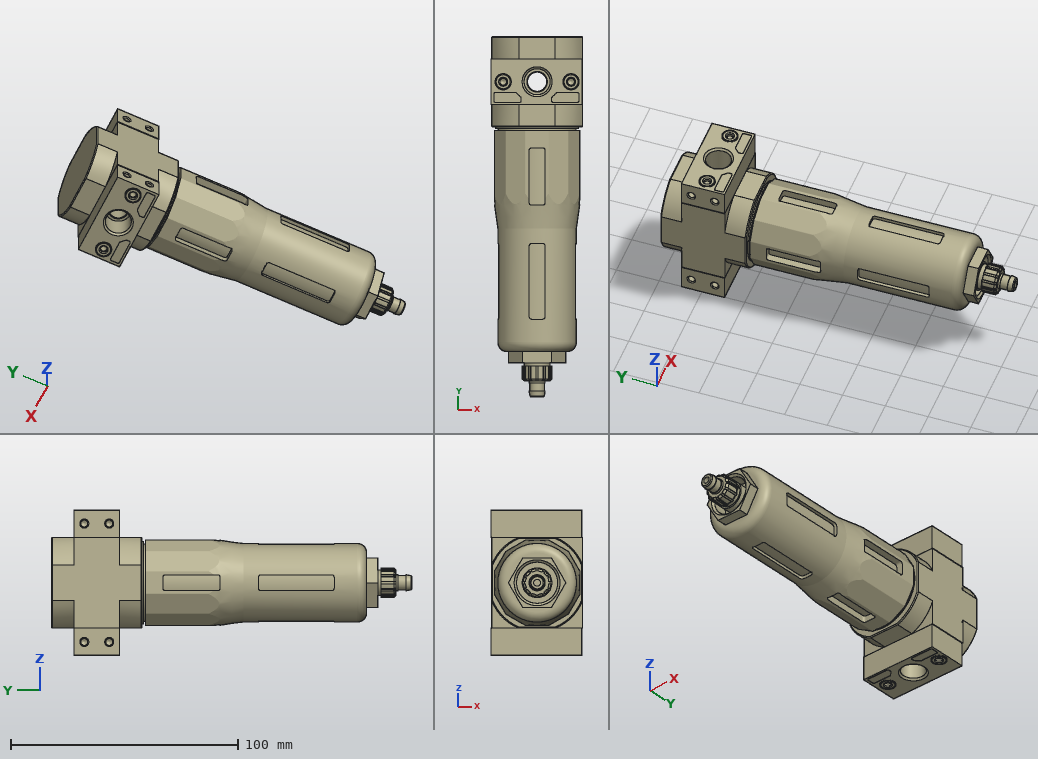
import cadquery as cq
import math


housing_side = 40.0
housing_length = 40.0
housing_round_radius = 21.55
housing_end_chamfer = 0.5
block_length = 20.2
flow_hole_diameter = 8.5
flow_hole_mouth_diameter = 9.0
overall_height = 64.0

plate_offset = -0.3
plate_thickness = (overall_height - housing_side) / 2
port_diameter = 11.5
port_mouth_diameter = 13.2
side_hole_diameter = 3.0
side_hole_mouth_diameter = 4.0
side_hole_depth = 4.8
side_hole_spacing = 11.0
side_hole_height = 26.0
drill_point_angle = 118

label_outer_x = 18.8
label_inner_x = 6.7
label_top_y = -4.8
label_bottom_y = -9.0
label_bevel = 2.2
label_corner_radius = 0.6
label_depth = 0.2

screw_diameter = 7.2
screw_chamfer = 0.5
screw_offset = 15.0
socket_diameter = 3.0
socket_mouth_diameter = 4.0
socket_depth = 1.6

housing_front = -housing_length / 2
collar_radius = 18.3
collar_end = -20.7
neck_radius = 17.2
neck_end = -21.5
grip_diameter = 39.0
cone_start = -49.5
cone_end = -64.7
guard_radius = 17.3
guard_end = -119.0
guard_end_fillet = 4.1
grip_sides = 12
grip_across_flats = 37.7
hex_across_flats = 22.0
hex_end = -123.9
hex_recess_diameter = 18.1
hex_recess_depth = 8.0
hex_recess_chamfer = 1.03
hex_recess_floor = hex_end + hex_recess_depth

window_width = 7.0
window_corner_radius = 1.1
window_count = 4
grip_window = (-54.4, -29.1)
bowl_window = (-104.6, -71.2)

bowl_radius = 15.7
bowl_end = guard_end + guard_end_fillet

drain_boss_radius = 6.5
drain_boss_end = -123.0
drain_neck_radius = 5.7
knob_start = -125.1
knob_end = -131.8
knob_core_radius = 6.12
knob_chamfer = 1.0
rib_count = 12
rib_radius = 6.6
rib_width = 1.0
stem_collar_radius = 3.58
stem_collar_end = -132.8
stem_radius = 3.26
barb_start = -136.3
barb_radius = 3.58
tip_radius = 3.2
tip_chamfer = 0.5
tip_end = -139.0
tip_hole_diameter = 3.0
tip_hole_depth = 3.2


def turned(points):
    """Solid of revolution about Y from (radius, y) points."""
    return cq.Workplane("XY").polyline(points).close().revolve(360, (0, 0, 0), (0, 1, 0))


def regular_prism(sides, across_flats, start, end):
    """Regular prism along Y with a corner towards +X."""
    across_corners = across_flats / math.cos(math.pi / sides)
    return cq.Workplane("XZ", origin=(0, start, 0)).polygon(sides, across_corners).extrude(start - end)


def drilled_hole(diameter, mouth_diameter, depth):
    """Cutter for a hole down -Z from the origin, with a 45 degree mouth and a drill point."""
    radius = diameter / 2
    mouth_radius = mouth_diameter / 2
    point_depth = radius / math.tan(math.radians(drill_point_angle / 2))
    profile = [
        (0, 0),
        (mouth_radius, 0),
        (radius, radius - mouth_radius),
        (radius, -depth),
        (0, -depth - point_depth),
    ]
    return cq.Workplane("XZ").polyline(profile).close().revolve(360, (0, 0, 0), (0, 1, 0))


def make_housing():
    square = cq.Workplane("XZ").rect(housing_side, housing_side).extrude(housing_length / 2, both=True)
    barrel = cq.Workplane("XZ").circle(housing_round_radius).extrude(housing_length / 2, both=True)
    barrel = barrel.intersect(square).faces("<Y or >Y").chamfer(housing_end_chamfer)
    block = cq.Workplane("XY").box(housing_side, block_length, housing_side)
    flow_hole = cq.Workplane("XY").circle(flow_hole_diameter / 2).extrude(housing_side / 2, both=True)
    body = barrel.union(block).cut(flow_hole)
    return body.edges("%CIRCLE and (<Z or >Z)").chamfer((flow_hole_mouth_diameter - flow_hole_diameter) / 2)


def label_recess(side):
    """Cutter for one label, on the -X (side = -1) or +X (side = 1) half of a plate face at z = 0."""
    outline = [
        (side * label_outer_x, label_top_y),
        (side * (label_inner_x + label_bevel), label_top_y),
        (side * label_inner_x, label_top_y - label_bevel),
        (side * label_inner_x, label_bottom_y),
        (side * label_outer_x, label_bottom_y),
    ]
    label = cq.Workplane("XY").polyline(outline).close().extrude(-label_depth)
    return label.edges("|Z").fillet(label_corner_radius).translate((plate_offset, 0, 0))


def make_plate():
    """Upper plate."""
    plate = (
        cq.Workplane("XY", origin=(plate_offset, 0, housing_side / 2))
        .rect(housing_side, block_length)
        .extrude(plate_thickness)
    )
    plate = plate.cut(
        cq.Workplane("XY", origin=(0, 0, housing_side / 2)).circle(port_diameter / 2).extrude(plate_thickness)
    )
    plate = plate.edges("%CIRCLE and >Z").chamfer((port_mouth_diameter - port_diameter) / 2)
    screw_holes = (
        cq.Workplane("XY", origin=(0, 0, housing_side / 2))
        .pushPoints([(-screw_offset, 0), (screw_offset, 0)])
        .circle(screw_diameter / 2)
        .extrude(plate_thickness)
    )
    plate = plate.cut(screw_holes)
    side_hole = drilled_hole(side_hole_diameter, side_hole_mouth_diameter, side_hole_depth)
    side_hole = side_hole.rotate((0, 0, 0), (0, 1, 0), -90)
    plate_side = plate_offset - housing_side / 2
    for direction in (-1, 1):
        place = (plate_side, direction * side_hole_spacing / 2, side_hole_height)
        plate = plate.cut(side_hole.translate(place))
        plate = plate.cut(label_recess(direction).translate((0, 0, overall_height / 2)))
    return plate


def make_screw():
    """Upper screw, standing on the housing with its socket flush with the plate face."""
    screw = cq.Workplane("XY").circle(screw_diameter / 2).extrude(-plate_thickness)
    screw = screw.faces(">Z").chamfer(screw_chamfer)
    screw = screw.cut(drilled_hole(socket_diameter, socket_mouth_diameter, socket_depth))
    return screw.translate((0, 0, overall_height / 2))


def window(span):
    """Cutter for one rounded window over the +Z side of the guard, reaching in to its axis."""
    start, end = span
    return (
        cq.Workplane("XY", origin=(0, (start + end) / 2, 0))
        .rect(window_width, end - start)
        .extrude(housing_side / 2)
        .edges("|Z")
        .fillet(window_corner_radius)
    )


def make_guard():
    guard = turned([
        (0, neck_end),
        (grip_diameter / 2, neck_end),
        (grip_diameter / 2, cone_start),
        (guard_radius, cone_end),
        (guard_radius, guard_end),
        (0, guard_end),
    ])
    guard = guard.faces("<Y").edges().fillet(guard_end_fillet)
    flats = regular_prism(grip_sides, grip_across_flats, neck_end, guard_end)
    flats = flats.rotate((0, 0, 0), (0, 1, 0), 180 / grip_sides)
    guard = guard.intersect(flats)
    guard = guard.union(turned([
        (0, housing_front),
        (collar_radius, housing_front),
        (collar_radius, collar_end),
        (neck_radius, collar_end),
        (neck_radius, neck_end),
        (0, neck_end),
    ]))
    hexagon = regular_prism(6, hex_across_flats, guard_end, hex_end)
    hex_recess_radius = hex_recess_diameter / 2
    recess = turned([
        (0, hex_end),
        (hex_recess_radius + hex_recess_chamfer, hex_end),
        (hex_recess_radius, hex_end + hex_recess_chamfer),
        (hex_recess_radius, hex_recess_floor),
        (0, hex_recess_floor),
    ])
    guard = guard.union(hexagon).cut(recess)
    for index in range(window_count):
        for span in (grip_window, bowl_window):
            guard = guard.cut(window(span).rotate((0, 0, 0), (0, 1, 0), index * 360 / window_count))
    return guard.cut(make_bowl())


def make_bowl():
    return turned([
        (0, housing_front),
        (bowl_radius, housing_front),
        (bowl_radius, bowl_end),
        (0, bowl_end),
    ])


def make_drain():
    drain = turned([
        (0, hex_recess_floor),
        (drain_boss_radius, hex_recess_floor),
        (drain_boss_radius, drain_boss_end),
        (drain_neck_radius, drain_boss_end),
        (drain_neck_radius, knob_start),
        (knob_core_radius, knob_start),
        (knob_core_radius, knob_end + knob_chamfer),
        (knob_core_radius - knob_chamfer, knob_end),
        (stem_collar_radius, knob_end),
        (stem_collar_radius, stem_collar_end),
        (stem_radius, stem_collar_end),
        (stem_radius, barb_start),
        (barb_radius, barb_start),
        (tip_radius, tip_end + tip_chamfer),
        (tip_radius - tip_chamfer, tip_end),
        (0, tip_end),
    ])
    rib_envelope = turned([
        (0, knob_start),
        (rib_radius, knob_start),
        (rib_radius, knob_end + knob_chamfer),
        (rib_radius - knob_chamfer, knob_end),
        (0, knob_end),
    ])
    rib = (
        cq.Workplane("XZ", origin=(0, knob_start, 0))
        .center(0, rib_radius / 2)
        .rect(rib_width, rib_radius)
        .extrude(knob_start - knob_end)
        .intersect(rib_envelope)
    )
    for index in range(rib_count):
        drain = drain.union(rib.rotate((0, 0, 0), (0, 1, 0), index * 360 / rib_count))
    tip_hole = (
        cq.Workplane("XZ", origin=(0, tip_end, 0)).circle(tip_hole_diameter / 2).extrude(-tip_hole_depth)
    )
    return drain.cut(tip_hole)


housing = make_housing()
guard = make_guard()
bowl = make_bowl()
drain = make_drain()

upper_plate = make_plate()
plates = [upper_plate, upper_plate.mirror("XY")]

screws = []
for screw_x in (-screw_offset, screw_offset):
    upper_screw = make_screw().translate((screw_x, 0, 0))
    screws.append(upper_screw)
    screws.append(upper_screw.mirror("XY"))

single_bodies = [housing, guard, bowl, drain]
result = cq.Compound.makeCompound([body.val() for body in single_bodies + plates + screws])